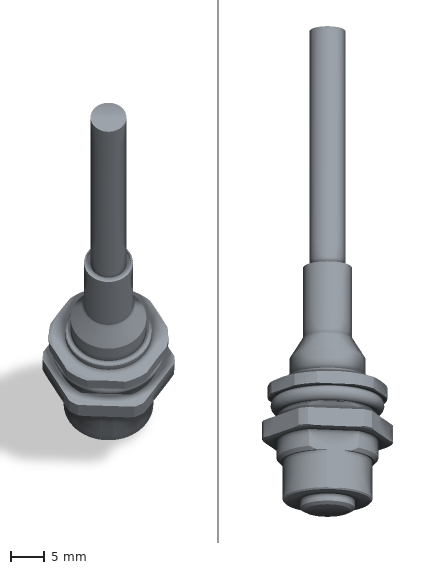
import cadquery as cq

shell_bottom_z = 1.5
body_bottom_z = 7.6
nut_bottom_z = 10.8
nut_top_z = 13.6
body_top_z = 15.3
flange_bottom_z = 17.6
flange_top_z = 19.5
collar_top_z = 20.7
boot_shoulder_z = 23.8
boot_cone_top_z = 27.15
sleeve_bore_depth = 0.2
sleeve_top_z = 38.2
bore_floor_z = sleeve_top_z - sleeve_bore_depth
cable_top_z = 75.4

insert_radius = 4.15
insert_chamfer_width = 0.7
insert_chamfer_height = 0.4
shell_radius = 6.8
shell_chamfer = 0.2
body_radius = 7.7
body_chamfer = 0.5
neck_radius = 7.1
seal_outer_radius = 8.6
seal_section_radius = 1.1
nut_radius = 9.95
flange_radius = 9.05
corner_chamfer_width = 0.45
corner_chamfer_height = 0.15
collar_radius = 6.6
collar_chamfer = 0.15
boot_radius = 5.7
sleeve_radius = 3.7
sleeve_bore_radius = 3.4
cable_radius = 2.7

flange_across_flats = 17.2
nut_across_flats = 17.95
body_across_flats = 13.4
flat_direction = -45.0


def cylinder(radius, bottom, top):
    return cq.Workplane("XY").workplane(offset=bottom).circle(radius).extrude(top - bottom)


def hexagon(across_flats, bottom, top):
    """Hexagonal prism with one pair of flats facing flat_direction."""
    prism = (
        cq.Workplane("XY")
        .workplane(offset=bottom)
        .polygon(6, across_flats, circumscribed=True)
        .extrude(top - bottom)
    )
    return prism.rotate((0, 0, 0), (0, 0, 1), flat_direction)


def contact_insert():
    insert = cylinder(insert_radius, 0, shell_bottom_z)
    return insert.faces("<Z").chamfer(insert_chamfer_height, insert_chamfer_width)


def threaded_body():
    """Shell and thread in one turned piece, cut by two opposite flats."""
    shell = cylinder(shell_radius, shell_bottom_z, body_bottom_z)
    shell = shell.faces("<Z").chamfer(shell_chamfer)
    thread = cylinder(body_radius, body_bottom_z, body_top_z)
    thread = thread.faces("<Z or >Z").chamfer(body_chamfer)
    slab = (
        cq.Workplane("XY")
        .box(body_across_flats, 3 * body_radius, body_top_z, centered=(True, True, False))
        .rotate((0, 0, 0), (0, 0, 1), flat_direction)
    )
    return shell.union(thread).intersect(slab)


def turned_blank(radius, bottom, top, chamfered_face):
    """Disc with one bevelled rim, used to round off the corners of a hexagon."""
    disc = cylinder(radius, bottom, top)
    return disc.faces(chamfered_face).chamfer(corner_chamfer_height, corner_chamfer_width)


def hex_nut():
    blank = turned_blank(nut_radius, nut_bottom_z, nut_top_z, "<Z")
    return hexagon(nut_across_flats, nut_bottom_z, nut_top_z).intersect(blank)


def seal_ring():
    """O-ring filling the gap under the flange, with the neck that carries it."""
    axis_x = seal_section_radius - seal_outer_radius
    ring = (
        cq.Workplane("XZ")
        .center(seal_outer_radius - seal_section_radius, flange_bottom_z - seal_section_radius)
        .circle(seal_section_radius)
        .revolve(360, (axis_x, 0), (axis_x, 1))
    )
    return cylinder(neck_radius, body_top_z, flange_bottom_z).union(ring)


def hex_flange():
    blank = turned_blank(flange_radius, flange_bottom_z, flange_top_z, ">Z")
    return hexagon(flange_across_flats, flange_bottom_z, flange_top_z).intersect(blank)


def collar():
    disc = cylinder(collar_radius, flange_top_z, collar_top_z)
    return disc.faces(">Z").chamfer(collar_chamfer)


def cable_boot():
    profile = [
        (0, collar_top_z),
        (boot_radius, collar_top_z),
        (boot_radius, boot_shoulder_z),
        (sleeve_radius, boot_cone_top_z),
        (sleeve_radius, sleeve_top_z),
        (sleeve_bore_radius, sleeve_top_z),
        (sleeve_bore_radius, bore_floor_z),
        (0, bore_floor_z),
    ]
    return cq.Workplane("XZ").polyline(profile).close().revolve(360, (0, 0), (0, 1))


result = (
    contact_insert()
    .union(threaded_body())
    .union(hex_nut())
    .union(seal_ring())
    .union(hex_flange())
    .union(collar())
    .union(cable_boot())
    .union(cylinder(cable_radius, bore_floor_z, cable_top_z))
)